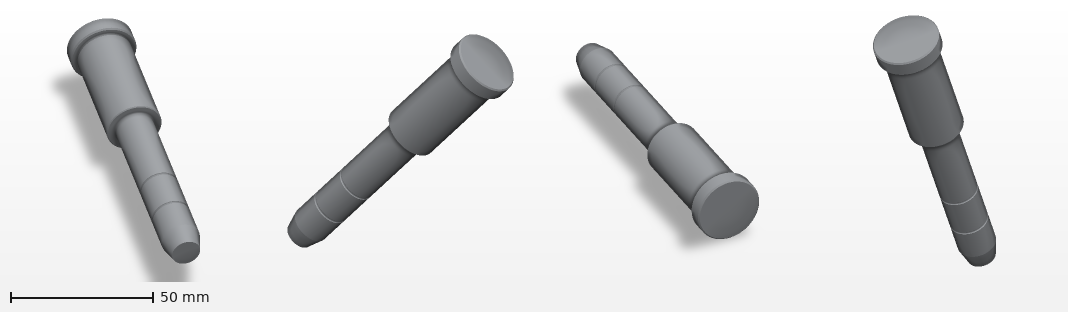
import cadquery as cq
import math

total_length = 111.0

head_radius = 24.0 / 2
head_length = 6.0
head_chamfer = 0.5

body_radius = 20.0 / 2
body_end = 45.0
body_chamfer = 0.3

shank_radius = 14.0 / 2
root_fillet = 0.5

groove_width = 1.0
groove_depth = 0.39
shank_groove_starts = (76.5, 91.5)

nose_length = 7.0
nose_angle = math.radians(15)
nose_start = total_length - nose_length
nose_radius = shank_radius - nose_length * math.tan(nose_angle)


def turned_blank():
    """Pin without its grooves: a half profile revolved about X."""
    profile = (
        cq.Workplane("XZ")
        .lineTo(0, head_radius - head_chamfer)
        .lineTo(head_chamfer, head_radius)
        .lineTo(head_length - head_chamfer, head_radius)
        .lineTo(head_length, head_radius - head_chamfer)
        .lineTo(head_length, body_radius)
        .lineTo(body_end - body_chamfer, body_radius)
        .lineTo(body_end, body_radius - body_chamfer)
        .lineTo(body_end, shank_radius + root_fillet)
        .radiusArc((body_end + root_fillet, shank_radius), -root_fillet)
        .lineTo(nose_start, shank_radius)
        .lineTo(total_length, nose_radius)
        .lineTo(total_length, 0)
        .close()
    )
    return profile.revolve(360, (0, 0, 0), (1, 0, 0))


def groove_cutter(start, surface_radius):
    """Ring with an arc floor that cuts a groove into a cylinder."""
    section = (
        cq.Workplane("XZ")
        .moveTo(start, surface_radius)
        .threePointArc(
            (start + groove_width / 2, surface_radius - groove_depth),
            (start + groove_width, surface_radius),
        )
        .close()
    )
    return section.revolve(360, (0, 0, 0), (1, 0, 0))


result = turned_blank().cut(groove_cutter(head_length, body_radius))
for groove_start in shank_groove_starts:
    result = result.cut(groove_cutter(groove_start, shank_radius))